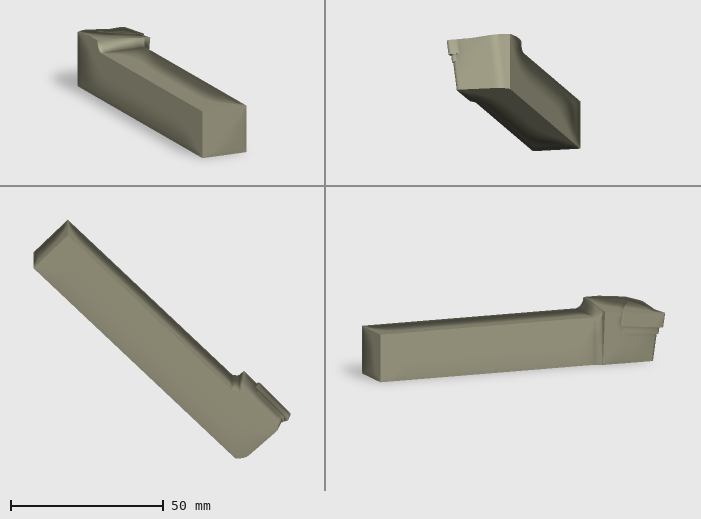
import cadquery as cq
import math

LENGTH = 99.4
SHANK_WIDTH = 16.0
SHANK_HEIGHT = 15.9
HEAD_HEIGHT = 19.5

HEAD_END_X = 21.0
HEAD_SIDE_END_X = 21.2
RAMP_END_X = 23.5
RAMP_MIDDLE_X = 21.7
RAMP_MIDDLE_Z = 17.2
SIDE_RAMP_START_Y = 17.1

TILT = math.tan(math.radians(6))
CREST_X = 15.5
HEAD_BACK_Y = 19.2
HEAD_LEFT_BACK_X = 1.4
HEAD_LEFT_FRONT_X = 1.9
CHAMFER = 6.2
BACK_CORNER_RADIUS = 1.2
FRONT_CORNER_RADIUS = 4.5

INSERT_SIDE = 16.4
INSERT_NOSE_RADIUS = 0.8
INSERT_BACK_Y = 20.0
INSERT_THICKNESS = 4.8
INSERT_RISE = 0.3
SEAT_THICKNESS = 2.5
SEAT_INSET = 0.6

MARGIN = 9.9
HEAD_PRISM_DEPTH = 49.7

TILT_AXIS = cq.Vector(-TILT, TILT, 1).normalized()


def tilted_point(x, y, offset=0.0):
    """Point on the tilted face below (x, y), moved along the face normal."""
    face_z = HEAD_HEIGHT + TILT * (x - CREST_X - y)
    return cq.Vector(x, y, face_z) + TILT_AXIS * offset


def tilted_prism(outline, top_offset, depth):
    """Prism square to the tilted face, with the given plan outline at its top."""
    points = [tilted_point(x, y, top_offset) for x, y in outline]
    wire = cq.Wire.makePolygon(points, close=True)
    solid = cq.Solid.extrudeLinear(wire, [], TILT_AXIS * -depth)
    return cq.Workplane(obj=solid)


def round_edge(prism, corner, top_offset, depth, radius):
    """Round the lengthwise prism edge that starts at the given plan corner."""
    middle = tilted_point(*corner, top_offset) - TILT_AXIS * (depth / 2)
    return prism.edges(cq.selectors.NearestToPointSelector(middle.toTuple())).fillet(radius)


def triangle_prism(inset, top_offset, depth):
    """Equilateral prism with rounded noses, one side along the back."""
    root3 = math.sqrt(3)
    left_x = -INSERT_NOSE_RADIUS * (root3 - 1) + inset * root3
    side = INSERT_SIDE - 2 * root3 * inset
    back_y = INSERT_BACK_Y - inset
    outline = [
        (left_x, back_y),
        (left_x + side / 2, back_y - side * root3 / 2),
        (left_x + side, back_y),
    ]
    prism = tilted_prism(outline, top_offset, depth)
    for corner in outline:
        prism = round_edge(prism, corner, top_offset, depth, INSERT_NOSE_RADIUS)
    return prism


def make_side_profile():
    """Shank and head as seen along Y, with the ramp between them."""
    return (
        cq.Workplane("XZ")
        .moveTo(0, 0)
        .lineTo(LENGTH, 0)
        .lineTo(LENGTH, SHANK_HEIGHT)
        .lineTo(RAMP_END_X, SHANK_HEIGHT)
        .threePointArc((RAMP_MIDDLE_X, RAMP_MIDDLE_Z), (HEAD_END_X, HEAD_HEIGHT))
        .lineTo(0, HEAD_HEIGHT)
        .close()
        .extrude(-(HEAD_BACK_Y + MARGIN))
    )


def make_plan_profile():
    """Shank and head as seen from above, with the ramp behind the shank."""
    back = HEAD_BACK_Y + MARGIN
    return (
        cq.Workplane("XY")
        .moveTo(0, 0)
        .lineTo(LENGTH, 0)
        .lineTo(LENGTH, SHANK_WIDTH)
        .lineTo(RAMP_END_X, SHANK_WIDTH)
        .lineTo(HEAD_SIDE_END_X, SIDE_RAMP_START_Y)
        .lineTo(HEAD_SIDE_END_X, back)
        .lineTo(0, back)
        .close()
        .extrude(HEAD_HEIGHT)
    )


def make_head_prism():
    """Tilted walls and top face of the head, carried on past the shank."""
    back_corner = (HEAD_LEFT_BACK_X, HEAD_BACK_Y)
    front_corner = (HEAD_LEFT_FRONT_X, CHAMFER - HEAD_LEFT_FRONT_X)
    outline = [
        back_corner,
        front_corner,
        (CHAMFER + MARGIN, -MARGIN),
        (LENGTH + MARGIN, -MARGIN),
        (LENGTH + MARGIN, HEAD_BACK_Y),
    ]
    prism = tilted_prism(outline, 0, HEAD_PRISM_DEPTH)
    prism = round_edge(prism, back_corner, 0, HEAD_PRISM_DEPTH, BACK_CORNER_RADIUS)
    return round_edge(prism, front_corner, 0, HEAD_PRISM_DEPTH, FRONT_CORNER_RADIUS)


def make_insert():
    return triangle_prism(0, INSERT_RISE, INSERT_THICKNESS)


def make_holder(insert):
    """Shank and head, with a seat ledge under the insert pocket."""
    body = make_side_profile().intersect(make_plan_profile()).intersect(make_head_prism())
    seat = triangle_prism(SEAT_INSET, INSERT_RISE - INSERT_THICKNESS, SEAT_THICKNESS)
    return body.union(seat).cut(insert)


insert = make_insert()
holder = make_holder(insert)

result = cq.Compound.makeCompound([holder.val(), insert.val()])